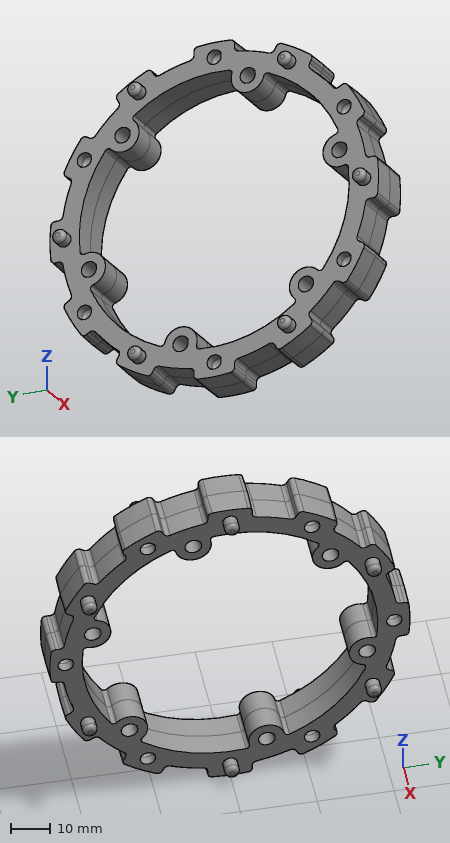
import cadquery as cq
import math

outer_diameter = 93.77
tip_radius = outer_diameter / 2
body_width = 12.7
half_width = body_width / 2
root_radius = 43.7
inner_radius = 38.4
draft_angle = 1.0

tooth_count = 12
tooth_pitch = 360 / tooth_count
tooth_width = 11.8
tooth_tip_fillet = 1.27
tooth_root_fillet = 1.27

lug_count = 6
lug_pitch = 360 / lug_count
lug_first_angle = 45
lug_circle_radius = 36.9
lug_radius = 4.7
lug_fillet = 1.0
lug_hole_diameter = 4.3

pin_circle_radius = 42.67
pin_diameter = 3.81
pin_length = 3.81
pin_round = 1.27
socket_diameter = 3.99
socket_depth = pin_length + (socket_diameter - pin_diameter) / 2

edge_margin = 0.2
steepest_edge_cosine = 0.9


def polar(radius, angle):
    """Point in the YZ plane at an angle in degrees from +Y."""
    return radius * math.cos(math.radians(angle)), radius * math.sin(math.radians(angle))


lug_centers = [polar(lug_circle_radius, lug_first_angle + index * lug_pitch) for index in range(lug_count)]


def disc(radius, length, center=(0, 0), start=0.0):
    """Cylinder along +X from the plane X = start."""
    return cq.Workplane("YZ", origin=(start, 0, 0)).center(*center).circle(radius).extrude(length)


def long_edges_near(solid, radius):
    """Edges running roughly along X whose middle lies about the given distance from the axis."""
    def is_wanted(edge):
        center = edge.Center()
        runs_along_x = abs(edge.tangentAt(0.5).x) > steepest_edge_cosine
        return runs_along_x and abs(math.hypot(center.y, center.z) - radius) < edge_margin

    return solid.edges().filter(is_wanted)


def toothed_half():
    """Half of the ring, widest at X = 0, with rounded tooth tips and roots."""
    half = cq.Workplane("YZ").circle(root_radius).extrude(half_width, taper=draft_angle)
    tip_envelope = cq.Workplane("YZ").circle(tip_radius).extrude(half_width, taper=draft_angle)
    bar_length = 3 * tip_radius
    tooth_bar = cq.Workplane("YZ").rect(bar_length, tooth_width).extrude(half_width, taper=draft_angle)
    for index in range(tooth_count // 2):
        half = half.union(tooth_bar.rotate((0, 0, 0), (1, 0, 0), index * tooth_pitch))
    half = half.intersect(tip_envelope)
    half = long_edges_near(half, tip_radius).fillet(tooth_tip_fillet)
    return long_edges_near(half, root_radius).fillet(tooth_root_fillet)


def half_bore():
    """Central opening of one half, with the lugs left standing."""
    opening = disc(inner_radius, half_width)
    for center in lug_centers:
        opening = opening.cut(disc(lug_radius, half_width, center))
    return long_edges_near(opening, inner_radius).fillet(lug_fillet)


def lug_holes():
    """Holes through the lugs, cut to the depth of one half."""
    return cq.Workplane("YZ").pushPoints(lug_centers).circle(lug_hole_diameter / 2).extrude(half_width)


def rounded_peg(diameter, length, center):
    """Peg standing on the +X face with a rounded end."""
    return disc(diameter / 2, length, center, half_width).faces(">X").edges().fillet(pin_round)


half_ring = toothed_half().cut(half_bore()).cut(lug_holes())

ring = half_ring.union(half_ring.mirror("YZ"), clean=False)

for index in range(tooth_count):
    place = polar(pin_circle_radius, index * tooth_pitch)
    pin = rounded_peg(pin_diameter, pin_length, place)
    socket = rounded_peg(socket_diameter, socket_depth, place).translate((-body_width, 0, 0))
    if index % 2 == 0:
        pin = pin.mirror("YZ")
        socket = socket.mirror("YZ")
    ring = ring.union(pin, clean=False).cut(socket, clean=False)

result = ring